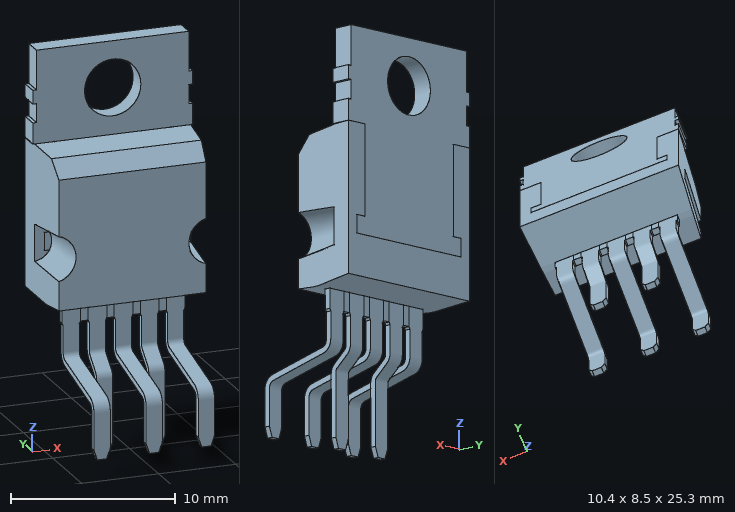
import cadquery as cq
import math


TOTAL_HEIGHT = 25.3
OVERALL_WIDTH = 10.4
OVERALL_DEPTH = 8.5

TAB_THICKNESS = 1.37
TAB_WIDTH = 9.92
HOLE_DIAMETER = 3.65
HOLE_Z = TOTAL_HEIGHT - 3.0
EAR_TOP_Z = TOTAL_HEIGHT - 2.55
EAR_HEIGHT = 0.89
SHOULDER_TOP_Z = TOTAL_HEIGHT - 4.65
TONGUE_WIDTH = 7.6
ANCHOR_WIDTH = 8.9
ANCHOR_HEIGHT = 1.16

DRAFT = math.tan(math.radians(5))
HOUSING_DEPTH = 4.75
HOUSING_TOP_Z = TOTAL_HEIGHT - 6.02
HOUSING_BASE_Z = 9.45
TOP_CHAMFER_DEPTH = 1.04
TOP_CHAMFER_END_Z = 18.01
NOTCH_Z = 12.93
NOTCH_X = 5.15
NOTCH_FRONT_RADIUS = 1.5
NOTCH_FLOOR_RADIUS = 1.2

LEAD_COUNT = 5
LEAD_PITCH = 1.7
LEAD_THICKNESS = 0.4
LEAD_BACK_DEPTH = 2.8
LEAD_FRONT_DEPTH = LEAD_BACK_DEPTH + LEAD_THICKNESS
LEAD_AXIS_DEPTH = LEAD_BACK_DEPTH + LEAD_THICKNESS / 2
LEAD_EMBEDMENT = 1.26
LEAD_TOP_Z = HOUSING_BASE_Z + LEAD_EMBEDMENT
LEAD_WIDTH = 1.05
LEAD_ROOT_WIDTH = 1.21
ROOT_END_Z = 8.2
ROOT_TAPER = 0.15
TIP_WIDTH = 0.6
TIP_TAPER = 0.65
UPPER_BEND_RADIUS = 0.4

FAR_AXIS_DEPTH = OVERALL_DEPTH - LEAD_THICKNESS / 2
FAR_BEND_Z = (5.82, 4.63)
FAR_LOWER_BEND_RADIUS = 0.45
FAR_TIP_Z = 1.1
NEAR_JOG = 1.26
NEAR_AXIS_DEPTH = LEAD_AXIS_DEPTH + NEAR_JOG
NEAR_BEND_Z = (6.0, 4.95)
NEAR_LOWER_BEND_RADIUS = 0.25
NEAR_TIP_Z = 0.0


def block(width, back_depth, front_depth, bottom_z, top_z):
    """Box centred on X = 0, between two depths measured forward from the back plane Y = 0."""
    return (
        cq.Workplane("XY")
        .box(width, front_depth - back_depth, top_z - bottom_z, centered=(True, False, False))
        .translate((0, -front_depth, bottom_z))
    )


def extrude_across(points, width):
    """Extrude a closed (depth, z) outline along X, centred on X = 0."""
    outline = [(-depth, z) for depth, z in points]
    return cq.Workplane("YZ").polyline(outline).close().extrude(width / 2, both=True)


def make_tab():
    anchor_bottom_z = NOTCH_Z - ANCHOR_HEIGHT / 2
    anchor_top_z = NOTCH_Z + ANCHOR_HEIGHT / 2
    tab = block(TAB_WIDTH, 0, TAB_THICKNESS, HOUSING_TOP_Z, TOTAL_HEIGHT)
    tab = tab.union(block(OVERALL_WIDTH, 0, TAB_THICKNESS, EAR_TOP_Z - EAR_HEIGHT, EAR_TOP_Z))
    tab = tab.union(block(OVERALL_WIDTH, 0, TAB_THICKNESS, HOUSING_TOP_Z, SHOULDER_TOP_Z))
    tab = tab.union(block(TONGUE_WIDTH, 0, TAB_THICKNESS, anchor_bottom_z, HOUSING_TOP_Z))
    tab = tab.union(block(ANCHOR_WIDTH, 0, TAB_THICKNESS, anchor_bottom_z, anchor_top_z))
    hole = (
        cq.Workplane("XZ")
        .center(0, HOLE_Z)
        .circle(HOLE_DIAMETER / 2)
        .extrude(TAB_THICKNESS)
    )
    return tab.cut(hole)


def side_notch(side):
    """Tapered round notch in one side (-1 or 1), widening from the tab plane to the front."""
    return (
        cq.Workplane("XZ", origin=(side * NOTCH_X, -TAB_THICKNESS, NOTCH_Z))
        .circle(NOTCH_FLOOR_RADIUS)
        .workplane(offset=HOUSING_DEPTH - TAB_THICKNESS)
        .circle(NOTCH_FRONT_RADIUS)
        .loft(ruled=True)
    )


def make_housing(tab, leads):
    chamfer_start_depth = HOUSING_DEPTH - TOP_CHAMFER_DEPTH
    side_profile = [
        (0, HOUSING_BASE_Z + LEAD_BACK_DEPTH * DRAFT),
        (LEAD_BACK_DEPTH, HOUSING_BASE_Z),
        (LEAD_FRONT_DEPTH, HOUSING_BASE_Z),
        (HOUSING_DEPTH, HOUSING_BASE_Z + (HOUSING_DEPTH - LEAD_FRONT_DEPTH) * DRAFT),
        (HOUSING_DEPTH, TOP_CHAMFER_END_Z),
        (chamfer_start_depth, HOUSING_TOP_Z - (chamfer_start_depth - TAB_THICKNESS) * DRAFT),
        (TAB_THICKNESS, HOUSING_TOP_Z),
        (0, HOUSING_TOP_Z),
    ]
    housing = extrude_across(side_profile, OVERALL_WIDTH)

    back_half = OVERALL_WIDTH / 2
    front_half = back_half - HOUSING_DEPTH * DRAFT
    plan = [
        (-back_half, 0),
        (back_half, 0),
        (front_half, -HOUSING_DEPTH),
        (-front_half, -HOUSING_DEPTH),
    ]
    housing = housing.intersect(cq.Workplane("XY").polyline(plan).close().extrude(TOTAL_HEIGHT))

    for side in (-1, 1):
        housing = housing.cut(side_notch(side))

    web_width = (LEAD_COUNT - 1) * LEAD_PITCH
    housing = housing.union(
        block(web_width, LEAD_BACK_DEPTH, LEAD_FRONT_DEPTH, ROOT_END_Z, LEAD_TOP_Z)
    )

    housing = housing.cut(tab)
    for lead in leads:
        housing = housing.cut(lead)
    return housing


def make_lead(x, outer_depth, bend_z, lower_radius, tip_z):
    """Flat lead that leaves the housing, steps out to outer_depth and turns down again."""
    upper_z, lower_z = bend_z
    half = LEAD_THICKNESS / 2
    slope_angle = math.atan2(outer_depth - LEAD_AXIS_DEPTH, upper_z - lower_z)
    miter = half * math.tan(slope_angle / 2)
    ribbon = extrude_across(
        [
            (LEAD_BACK_DEPTH, LEAD_TOP_Z),
            (LEAD_BACK_DEPTH, upper_z - miter),
            (outer_depth - half, lower_z - miter),
            (outer_depth - half, tip_z),
            (outer_depth + half, tip_z),
            (outer_depth + half, lower_z + miter),
            (LEAD_FRONT_DEPTH, upper_z + miter),
            (LEAD_FRONT_DEPTH, LEAD_TOP_Z),
        ],
        LEAD_ROOT_WIDTH,
    )
    bend_fillets = [
        (LEAD_FRONT_DEPTH, upper_z + miter, UPPER_BEND_RADIUS),
        (LEAD_BACK_DEPTH, upper_z - miter, UPPER_BEND_RADIUS + LEAD_THICKNESS),
        (outer_depth - half, lower_z - miter, lower_radius),
        (outer_depth + half, lower_z + miter, lower_radius + LEAD_THICKNESS),
    ]
    for depth, z, radius in bend_fillets:
        corner = cq.selectors.NearestToPointSelector((0, -depth, z))
        ribbon = ribbon.edges("|X").edges(corner).fillet(radius)

    right_edge = [
        (LEAD_ROOT_WIDTH / 2, LEAD_TOP_Z),
        (LEAD_ROOT_WIDTH / 2, ROOT_END_Z),
        (LEAD_WIDTH / 2, ROOT_END_Z - ROOT_TAPER),
        (LEAD_WIDTH / 2, tip_z + TIP_TAPER),
        (TIP_WIDTH / 2, tip_z),
    ]
    left_edge = [(-half_width, z) for half_width, z in reversed(right_edge)]
    face = cq.Workplane("XZ").polyline(right_edge + left_edge).close().extrude(OVERALL_DEPTH)
    return ribbon.intersect(face).translate((x, 0, 0))


tab = make_tab()

leads = []
for index in range(LEAD_COUNT):
    lead_x = (index - (LEAD_COUNT - 1) / 2) * LEAD_PITCH
    if index % 2 == 0:
        lead = make_lead(lead_x, FAR_AXIS_DEPTH, FAR_BEND_Z, FAR_LOWER_BEND_RADIUS, FAR_TIP_Z)
    else:
        lead = make_lead(lead_x, NEAR_AXIS_DEPTH, NEAR_BEND_Z, NEAR_LOWER_BEND_RADIUS, NEAR_TIP_Z)
    leads.append(lead)

housing = make_housing(tab, leads)

bodies = [tab, housing, *leads]
result = cq.Compound.makeCompound([body.solids().val() for body in bodies])